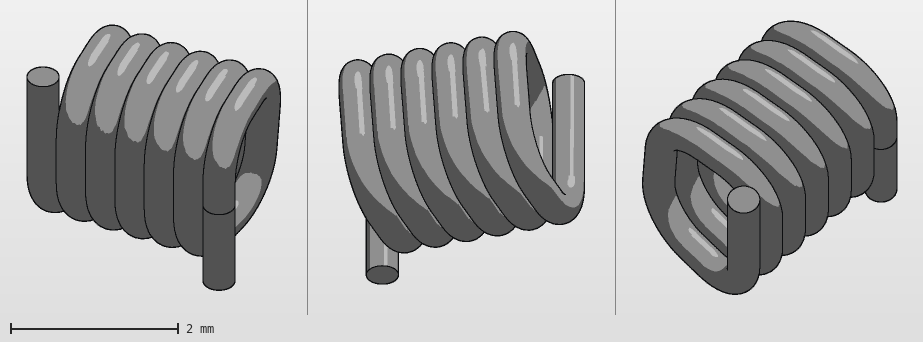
import cadquery as cq
import math


overall_length = 2.72
coil_depth = 1.98
coil_height = 2.31
wire_diameter = 0.385
turn_count = 6
bend_radius = 0.635
lead_tip_height = 1.145

wire_radius = wire_diameter / 2
pitch = (overall_length - wire_diameter) / turn_count
advance_per_side = pitch / 3
front_y = -(coil_depth - wire_diameter) / 2
back_y = -front_y
top_z = (coil_height - wire_diameter) / 2
bottom_z = -top_z
start_x = -turn_count * pitch / 2
end_x = -start_x


def turn_corners(x):
    """Sharp corners of one turn's centreline, whose front side starts at x."""
    return [
        cq.Vector(x, front_y, bottom_z),
        cq.Vector(x + advance_per_side, back_y, bottom_z),
        cq.Vector(x + 2 * advance_per_side, back_y, top_z),
        cq.Vector(x + pitch, front_y, top_z),
    ]


def bend_points(before, corner, after):
    """Start, middle and end of the arc that rounds a centreline corner."""
    incoming = (corner - before).normalized()
    outgoing = (after - corner).normalized()
    half_turn = incoming.getAngle(outgoing) / 2
    setback = bend_radius * math.tan(half_turn)
    corner_to_arc = bend_radius / math.cos(half_turn) - bend_radius
    inward = (outgoing - incoming).normalized()
    return (
        corner - incoming * setback,
        corner + inward * corner_to_arc,
        corner + outgoing * setback,
    )


def rounded_path(points):
    """Wire through the points, with every inner corner rounded by an arc."""
    edges = []
    position = points[0]
    for before, corner, after in zip(points, points[1:], points[2:]):
        arc_start, arc_middle, arc_end = bend_points(before, corner, after)
        edges.append(cq.Edge.makeLine(position, arc_start))
        edges.append(cq.Edge.makeThreePointArc(arc_start, arc_middle, arc_end))
        position = arc_end
    edges.append(cq.Edge.makeLine(position, points[-1]))
    return cq.Wire.assembleEdges(edges)


def make_coil():
    """Start lead and all turns, ending halfway up the last front side."""
    lead_tip = cq.Vector(start_x, front_y, lead_tip_height)
    points = [lead_tip]
    for turn in range(turn_count):
        points.extend(turn_corners(start_x + turn * pitch))
    points.append(cq.Vector(end_x, front_y, 0))
    path = cq.Workplane(obj=rounded_path(points))
    section = cq.Workplane("XY", origin=lead_tip.toTuple()).circle(wire_radius)
    return section.sweep(path)


def make_end_lead():
    """Straight lead that hangs from the cut end of the last turn."""
    section = cq.Workplane("XY", origin=(end_x, front_y, 0)).circle(wire_radius)
    return section.extrude(-lead_tip_height)


coil = make_coil()
end_lead = make_end_lead()

result = cq.Compound.makeCompound([coil.val(), end_lead.val()])